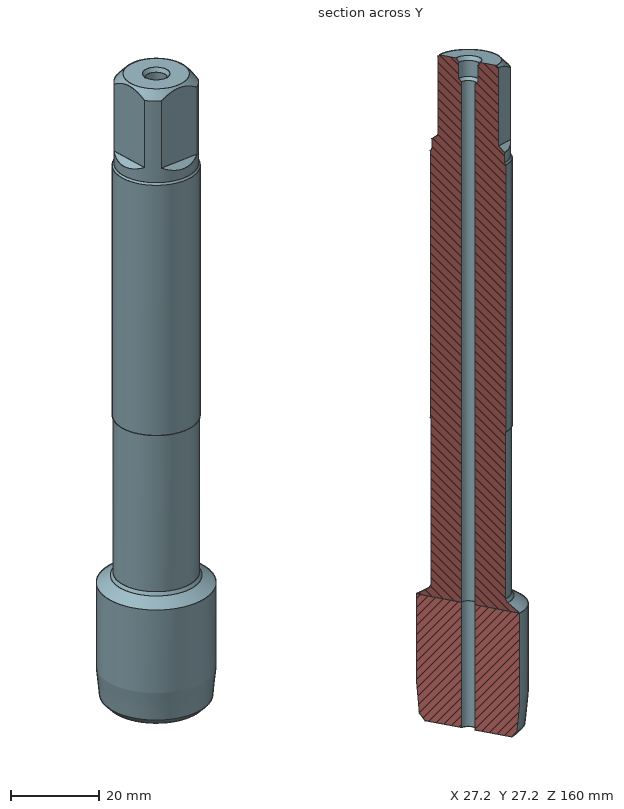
import cadquery as cq

total_length = 160.0

head_diameter = 27.2
head_top = 30.0
lead_height = 8.8
lead_end_diameter = 25.8
tip_chamfer_height = 1.6
tip_diameter = 22.7

collar_diameter = 20.8
collar_height = 2.0
neck_diameter = 19.7
neck_flare_height = 0.8
shank_diameter = 20.0
shank_bottom = 72.8
shank_top = 137.1
shank_chamfer = (shank_diameter - neck_diameter) / 2
shank_top_chamfer = 0.5

drive_diameter = 19.2
drive_width = 16.0
drive_bottom = 140.8
drive_chamfer = 2.0
flat_run_out = 1.3

bore_diameter = 3.5
center_diameter = 5.0
center_depth = 4.8
countersink_diameter = 6.2
countersink_depth = 1.0


def revolve_profile(points):
    """Solid of revolution about Z from (radius, height) points."""
    return cq.Workplane("XZ").polyline(points).close().revolve(360, (0, 0), (0, 1))


def make_bore():
    """Through bore that widens to a countersunk center hole at the drive end."""
    cone_height = (center_diameter - bore_diameter) / 2
    center_bottom = total_length - center_depth
    return revolve_profile([
        (0, 0),
        (bore_diameter / 2, 0),
        (bore_diameter / 2, center_bottom - cone_height),
        (center_diameter / 2, center_bottom),
        (center_diameter / 2, total_length - countersink_depth),
        (countersink_diameter / 2, total_length),
        (0, total_length),
    ])


def make_head():
    """Cylinder with a slightly tapered lead and a chamfered tip."""
    blank = revolve_profile([
        (0, 0),
        (tip_diameter / 2, 0),
        (lead_end_diameter / 2, tip_chamfer_height),
        (head_diameter / 2, lead_height),
        (head_diameter / 2, head_top),
        (0, head_top),
    ])
    return blank.cut(make_bore())


def make_flat_cutter():
    """Prism on the +X side that cuts one drive flat and its sloped run-out."""
    flat_x = drive_width / 2
    reach = drive_diameter
    slope_run = reach - flat_x
    slope_drop = slope_run * flat_run_out / (drive_diameter / 2 - flat_x)
    return (
        cq.Workplane("XZ")
        .moveTo(flat_x, drive_bottom)
        .lineTo(reach, drive_bottom - slope_drop)
        .lineTo(reach, total_length)
        .lineTo(flat_x, total_length)
        .close()
        .extrude(drive_diameter / 2, both=True)
    )


def make_shank():
    """Stepped shank with a conical foot and a square drive at its upper end."""
    collar_z = head_top + collar_height
    shank = revolve_profile([
        (0, head_top),
        (head_diameter / 2, head_top),
        (collar_diameter / 2, collar_z),
        (neck_diameter / 2, collar_z + neck_flare_height),
        (neck_diameter / 2, shank_bottom - shank_chamfer),
        (shank_diameter / 2, shank_bottom),
        (shank_diameter / 2, shank_top - shank_top_chamfer),
        (drive_diameter / 2, shank_top),
        (drive_diameter / 2, total_length - drive_chamfer),
        (drive_diameter / 2 - drive_chamfer, total_length),
        (0, total_length),
    ])
    cutter = make_flat_cutter()
    for angle in (0, 90, 180, 270):
        shank = shank.cut(cutter.rotate((0, 0, 0), (0, 0, 1), angle))
    return shank.cut(make_bore())


head = make_head()
shank = make_shank()

result = cq.Compound.makeCompound([head.val(), shank.val()])